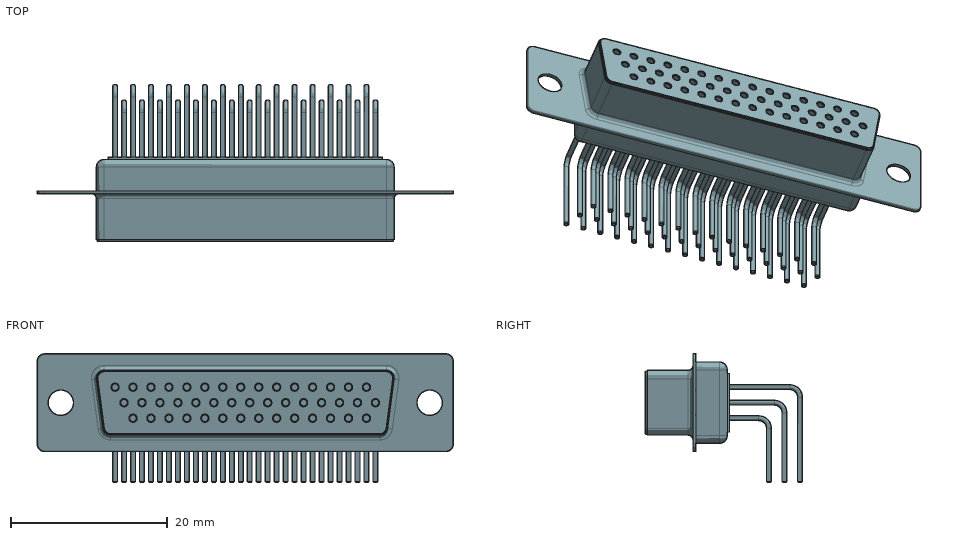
import cadquery as cq
import math


flange_width = 53.1
flange_height = 12.5
flange_thickness = 0.4
flange_corner_radius = 1.0
flange_edge_fillet = 0.1
mount_hole_diameter = 3.2
mount_hole_spacing = 47.04

overall_depth = 20.08
mating_projection = 6.1
shell_height = 8.3
shell_width = 38.0
shell_side_angle = 7.5
shell_corner_radius = 1.0
shell_root_fillet = 0.6
core_projection = 0.3
core_inset = 0.1
core_edge_chamfer = 0.1

housing_width = shell_width
housing_height = 10.4
housing_depth = 4.0
housing_radius = 1.0
back_plate_width = 35.0
back_plate_height = 7.5
back_plate_thickness = 0.3

contact_pitch = 2.29
row_pitch = 1.98
row_counts = (15, 15, 14)
socket_diameter = 0.85
socket_depth = 5.0
socket_mouth_chamfer = 0.1
pin_diameter = 0.64
pin_bend_radius = 1.3
pin_tip_chamfer = 0.12
pin_drop_below_flange = 3.9

flange_front_y = -flange_thickness
mating_face_y = flange_front_y - mating_projection
shell_front_y = mating_face_y + core_projection
back_plate_y = housing_depth + back_plate_thickness
rearmost_pin_y = mating_face_y + overall_depth - pin_diameter / 2
pin_tip_z = -flange_height / 2 - pin_drop_below_flange
column_pitch = contact_pitch / 2
column_count = row_counts[0] + row_counts[1]
first_contact_x = -(column_count - 1) / 2 * column_pitch


def contact_rows():
    """Return (row index, row Z, list of contact X) for every contact row."""
    rows = []
    for row, count in enumerate(row_counts):
        row_z = (1 - row) * row_pitch
        row_start_x = first_contact_x + row * column_pitch
        rows.append((row, row_z, [row_start_x + i * contact_pitch for i in range(count)]))
    return rows


def box_from(y_start, width, depth, height):
    """Box centred on X and Z that runs toward +Y from y_start."""
    return cq.Workplane("XY").box(width, depth, height).translate((0, y_start + depth / 2, 0))


def make_flange():
    flange = box_from(flange_front_y, flange_width, flange_thickness, flange_height)
    flange = flange.edges("|Y").fillet(flange_corner_radius)
    return flange.faces("<Y").edges().fillet(flange_edge_fillet)


def make_d_block(inset, front_y):
    """D-shaped block from Y = 0 forward to front_y, wider at the top, shrunk all round by inset."""
    angle = math.radians(shell_side_angle)
    half_height = shell_height / 2 - inset
    corner_radius = shell_corner_radius - inset
    upper_center_x = shell_width / 2 - shell_corner_radius
    top_x = upper_center_x + corner_radius * (1 / math.cos(angle) + math.tan(angle))
    bottom_x = top_x - 2 * half_height * math.tan(angle)
    corners = [
        (-top_x, half_height),
        (top_x, half_height),
        (bottom_x, -half_height),
        (-bottom_x, -half_height),
    ]
    block = cq.Workplane("XZ").polyline(corners).close().extrude(-front_y)
    return block.edges("|Y").fillet(corner_radius)


def make_core():
    """Insulating core that fills the shell and stands slightly proud of its rim."""
    core = make_d_block(core_inset, mating_face_y)
    return core.faces("<Y").edges().chamfer(core_edge_chamfer)


def round_shell_root(body):
    """Fillet the joint between the shell and the front face of the flange."""
    tolerance = 0.01
    reach_x = shell_width / 2 + shell_root_fillet
    reach_z = shell_height / 2 + shell_root_fillet
    root = cq.selectors.BoxSelector(
        (-reach_x, flange_front_y - tolerance, -reach_z),
        (reach_x, flange_front_y + tolerance, reach_z),
    )
    return body.edges(root).fillet(shell_root_fillet)


def make_housing():
    housing = box_from(0, housing_width, housing_depth, housing_height)
    housing = housing.edges("|Y").fillet(housing_radius)
    housing = housing.faces(">Y").edges().fillet(housing_radius)
    plate = box_from(0, back_plate_width, back_plate_y, back_plate_height)
    return housing.union(plate)


def cut_mount_holes(body):
    hole_centers = [(-mount_hole_spacing / 2, 0), (mount_hole_spacing / 2, 0)]
    cutter = cq.Workplane("XZ").pushPoints(hole_centers).circle(mount_hole_diameter / 2)
    return body.cut(cutter.extrude(flange_thickness))


def cut_sockets(body):
    """Blind contact sockets with a chamfered mouth in the mating face."""
    socket_centers = [(x, z) for _, z, row_x in contact_rows() for x in row_x]
    face = cq.Workplane("XZ", origin=(0, mating_face_y, 0))
    mouth_radius = socket_diameter / 2 + socket_mouth_chamfer
    bores = face.pushPoints(socket_centers).circle(socket_diameter / 2).extrude(-socket_depth)
    mouth = cq.Solid.makeCone(
        mouth_radius,
        socket_diameter / 2,
        socket_mouth_chamfer,
        pnt=cq.Vector(0, mating_face_y, 0),
        dir=cq.Vector(0, 1, 0),
    )
    mouths = [mouth.translate(cq.Vector(x, 0, z)) for x, z in socket_centers]
    return cq.Workplane(body.cut(bores).val().cut(*mouths))


def make_pin(row, row_z):
    """Right-angle pin at X = 0 that leaves the back plate and bends down to its tip."""
    start_y = housing_depth
    drop_y = rearmost_pin_y - row * row_pitch
    bend_start_y = drop_y - pin_bend_radius
    bend_end_z = row_z - pin_bend_radius
    diagonal = pin_bend_radius * math.sqrt(0.5)
    bend_middle = (bend_start_y + diagonal, bend_end_z + diagonal)
    path = (
        cq.Workplane("YZ")
        .moveTo(start_y, row_z)
        .lineTo(bend_start_y, row_z)
        .threePointArc(bend_middle, (drop_y, bend_end_z))
        .lineTo(drop_y, pin_tip_z)
    )
    profile = cq.Workplane("XZ", origin=(0, start_y, row_z)).circle(pin_diameter / 2)
    pin = profile.sweep(path)
    return pin.faces("<Z").edges().chamfer(pin_tip_chamfer)


def add_pins(body):
    pins = []
    for row, row_z, row_x in contact_rows():
        pin = make_pin(row, row_z)
        pins += [pin.translate((x, 0, 0)).val() for x in row_x]
    return cq.Workplane(body.val().fuse(*pins))


connector = round_shell_root(make_flange().union(make_d_block(0, shell_front_y)))
connector = connector.union(make_core())
connector = connector.union(make_housing())
connector = cut_mount_holes(connector)
connector = cut_sockets(connector)
result = add_pins(connector)